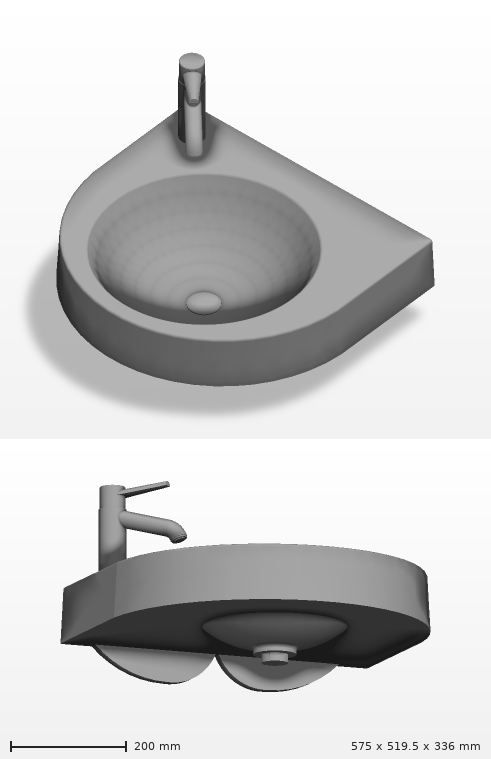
import cadquery as cq
import math


basin_width = 575.0
basin_height = 100.0
back_y = 280.5
front_y = -239.0
side_end_y = 32.0
side_draft = 6.0
edge_radius = 5.0

bowl_radius = 200.0
floor_radius = 32.0
floor_z = -126.0
underside_points = [(126.5, -basin_height), (83.5, -126.0), (43.0, -137.5)]
boss_radius = 37.5
boss_z = -144.0

lobe_thickness = 17.0
lobe_outer_x = 227.5
lobe_middle = (163.5, -142.5)
lobe_lowest = (94.5, -156.0)
lobe_inner = (42.5, -144.5)
lobe_inner_x = 3.0

drain_flange_z = -149.5
drain_bottom_z = -164.5
tail_diameter = 46.0
tail_slot_bottom_z = -162.0
tail_slot_width = 2.0
tail_slot_depth = 1.0
tail_slot_count = 4
tail_first_slot = 45.0
drain_rim_z = -126.0
plug_diameter = 60.0
plug_seat_z = -129.0
plug_edge_z = -123.5
plug_top_z = -117.5

faucet_x = -215.5
faucet_y = 214.5
faucet_turn = -47.0
column_diameter = 48.0
column_top_z = 130.0
cap_diameter = 45.0
cap_top_z = 169.5
cap_chamfer = 1.45
spout_diameter = 30.0
spout_axis_z = 117.0
spout_slope = 15.0
spout_outlet_slope = 70.0
spout_straight = 108.0
spout_bend_radius = 32.0
outlet_step_diameter = 27.5
outlet_step_length = 3.0
nozzle_diameter = 20.0
nozzle_length = 2.0
lever_bottom_z = 149.5
lever_slope = 7.3
lever_length = 107.0
lever_root = (35.5, 11.5)
lever_tip = (16.0, 8.5)


def basin_block():
    """D-shaped block: drafted sides and front, upright back."""
    half_width = basin_width / 2
    depth = side_end_y - front_y
    front_radius = (half_width**2 + depth**2) / (2 * depth)
    taper = math.degrees(math.atan(side_draft / basin_height))
    block = (
        cq.Workplane("XY", origin=(0, 0, -basin_height))
        .moveTo(-half_width, side_end_y)
        .threePointArc((0, front_y), (half_width, side_end_y))
        .lineTo(half_width, back_y + front_radius)
        .lineTo(-half_width, back_y + front_radius)
        .close()
        .extrude(basin_height, taper=taper)
    )
    cut_size = 2 * basin_width
    behind_wall = cq.Workplane("XY").box(cut_size, cut_size, cut_size)
    block = block.cut(behind_wall.translate((0, back_y + cut_size / 2, 0)))
    return block.faces(">Y").edges("not #Z").fillet(edge_radius)


def bowl_underside():
    """Rounded bulge below the block, ending in a coved boss."""
    rim, middle, bottom = underside_points
    return (
        cq.Workplane("XZ")
        .moveTo(0, -basin_height / 2)
        .lineTo(rim[0], -basin_height / 2)
        .lineTo(*rim)
        .threePointArc(middle, bottom)
        .radiusArc((boss_radius, boss_z), -(bottom[1] - boss_z))
        .lineTo(0, boss_z)
        .close()
        .revolve(360, (0, 0), (0, 1))
    )


def wall_lobes():
    """Two rounded lobes hanging below the basin, flush with its back."""
    lobes = []
    for side in (-1, 1):

        def on_side(point):
            """Mirror a right-hand point to the lobe's own side."""
            return (side * point[0], point[1])

        outline = (
            cq.Workplane("XZ", origin=(0, back_y, 0))
            .moveTo(side * lobe_outer_x, -basin_height)
            .threePointArc(on_side(lobe_middle), on_side(lobe_lowest))
            .threePointArc(on_side(lobe_inner), (side * lobe_inner_x, -basin_height))
            .close()
        )
        lobes.append(outline.extrude(lobe_thickness))
    return lobes


def bowl_cavity():
    """Spherical bowl with its centre on the Z axis, open at the deck."""
    lip_z = -edge_radius
    sphere_z = (floor_radius**2 - bowl_radius**2 + floor_z**2 - lip_z**2) / (2 * (floor_z - lip_z))
    sphere_radius = math.hypot(bowl_radius, lip_z - sphere_z)
    return cq.Workplane("XY").sphere(sphere_radius).translate((0, 0, sphere_z))


def make_basin():
    basin = basin_block()
    basin = basin.faces(">Z").edges().fillet(edge_radius)
    basin = basin.union(bowl_underside())
    for lobe in wall_lobes():
        basin = basin.union(lobe)
    basin = basin.cut(bowl_cavity())
    bowl_lip = cq.selectors.NearestToPointSelector((0, 0, 0))
    basin = basin.faces(">Z").edges(bowl_lip).fillet(edge_radius)
    drain_hole = cq.Workplane("XY", origin=(0, 0, boss_z)).circle(floor_radius).extrude(-boss_z)
    return basin.cut(drain_hole)


def make_drain():
    """Cup lining the drain hole, flange under the boss and slotted tail; seat for the plug on top."""
    tail_radius = tail_diameter / 2
    drain = (
        cq.Workplane("XY", origin=(0, 0, drain_bottom_z))
        .circle(tail_radius)
        .extrude(drain_flange_z - drain_bottom_z)
        .faces(">Z").workplane()
        .circle(boss_radius)
        .extrude(boss_z - drain_flange_z)
        .faces(">Z").workplane()
        .circle(floor_radius)
        .extrude(drain_rim_z - boss_z)
    )
    seat = (
        cq.Workplane("XY", origin=(0, 0, plug_seat_z))
        .circle(plug_diameter / 2)
        .extrude(drain_rim_z - plug_seat_z)
    )
    slots = (
        cq.Workplane("XY", origin=(0, 0, tail_slot_bottom_z))
        .polarArray(tail_radius, tail_first_slot, 360, tail_slot_count)
        .rect(2 * tail_slot_depth, tail_slot_width)
        .extrude(drain_flange_z - tail_slot_bottom_z)
    )
    return drain.cut(seat).cut(slots)


def make_plug():
    """Disc with a domed top, sitting in the drain's seat."""
    radius = plug_diameter / 2
    dome_height = plug_top_z - plug_edge_z
    dome_radius = (radius**2 + dome_height**2) / (2 * dome_height)
    return (
        cq.Workplane("XZ")
        .moveTo(0, plug_seat_z)
        .lineTo(radius, plug_seat_z)
        .lineTo(radius, plug_edge_z)
        .radiusArc((0, plug_top_z), -dome_radius)
        .close()
        .revolve(360, (0, 0), (0, 1))
    )


def make_column():
    return cq.Workplane("XY").circle(column_diameter / 2).extrude(column_top_z)


def make_cap():
    return (
        cq.Workplane("XY", origin=(0, 0, column_top_z))
        .circle(cap_diameter / 2)
        .extrude(cap_top_z - column_top_z)
        .faces(">Z").edges().chamfer(cap_chamfer)
    )


def make_spout(column, cap):
    """Sloping tube with a bent end and a stepped outlet, butting against the column."""
    start_angle = math.radians(spout_slope)
    end_angle = math.radians(spout_outlet_slope)
    bend_start = (
        spout_straight * math.cos(start_angle),
        spout_axis_z - spout_straight * math.sin(start_angle),
    )

    def bend_point(angle):
        """Point of the bend where the axis slopes down by the given angle."""
        return (
            bend_start[0] + spout_bend_radius * (math.sin(angle) - math.sin(start_angle)),
            bend_start[1] - spout_bend_radius * (math.cos(start_angle) - math.cos(angle)),
        )

    bend_end = bend_point(end_angle)
    axis = (
        cq.Workplane("XZ")
        .moveTo(0, spout_axis_z)
        .lineTo(*bend_start)
        .threePointArc(bend_point((start_angle + end_angle) / 2), bend_end)
    )
    inlet = cq.Plane(
        origin=(0, 0, spout_axis_z),
        xDir=(0, 1, 0),
        normal=(math.cos(start_angle), 0, -math.sin(start_angle)),
    )
    outlet = cq.Plane(
        origin=(bend_end[0], 0, bend_end[1]),
        xDir=(0, 1, 0),
        normal=(math.cos(end_angle), 0, -math.sin(end_angle)),
    )
    tube = cq.Workplane(inlet).circle(spout_diameter / 2).sweep(axis)
    outlet_step = cq.Workplane(outlet).circle(outlet_step_diameter / 2).extrude(outlet_step_length)
    nozzle = cq.Workplane(outlet).circle(nozzle_diameter / 2).extrude(outlet_step_length + nozzle_length)
    return tube.union(outlet_step).union(nozzle).cut(column).cut(cap)


def make_lever(cap):
    """Tapered lever with a flat underside and an arched top, butting against the cap."""
    slope = math.radians(lever_slope)
    base = cq.Plane(
        origin=(0, 0, lever_bottom_z),
        xDir=(0, 1, 0),
        normal=(math.cos(slope), 0, math.sin(slope)),
    )

    def section(workplane, size):
        width, thickness = size
        return (
            workplane.moveTo(-width / 2, 0)
            .threePointArc((0, thickness), (width / 2, 0))
            .close()
        )

    root = section(cq.Workplane(base), lever_root)
    lever = section(root.workplane(offset=lever_length), lever_tip).loft(ruled=True)
    return lever.cut(cap)


def place_on_deck(part):
    """Turn a faucet part towards the bowl and stand it on the deck."""
    return part.rotate((0, 0, 0), (0, 0, 1), faucet_turn).translate((faucet_x, faucet_y, 0))


basin = make_basin()
drain = make_drain()
plug = make_plug()
column = make_column()
cap = make_cap()
spout = make_spout(column, cap)
lever = make_lever(cap)

result = cq.Compound.makeCompound([
    basin.val(),
    drain.val(),
    plug.val(),
    *[place_on_deck(part).val() for part in (column, cap, spout, lever)],
])